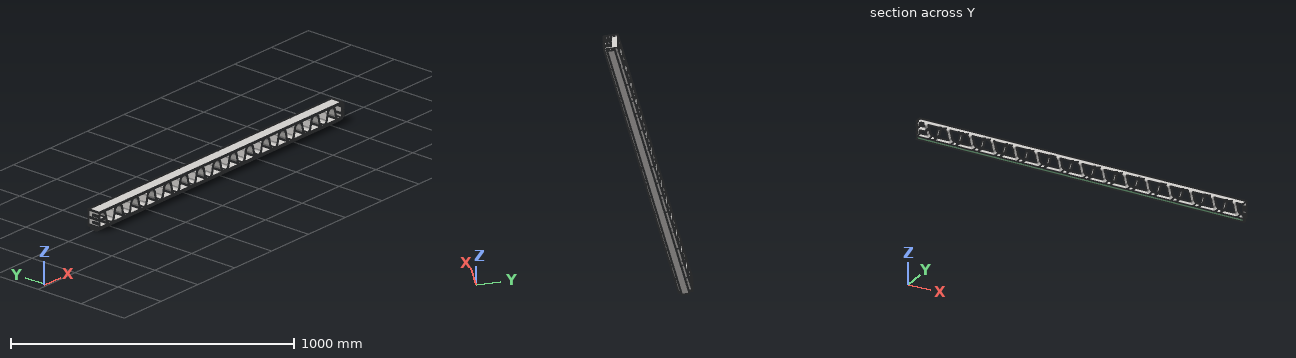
import cadquery as cq
import math

total_length = 1327.0
depth = 50.0
total_height = 73.0

hook_reach = 7.0
frame_length = total_length - hook_reach
rail_drop = 10.0
frame_height = total_height - rail_drop
plate = 4.0
left_wall = 3.0
right_wall = 4.0
frame_top = total_height
frame_bottom = rail_drop
mid_height = frame_bottom + frame_height / 2

half_waves = 29
pitch = 89.0
half_pitch = pitch / 2
core_thickness = 3.0
bend_radius = 20.0
core_start = (frame_length - half_waves * half_pitch) / 2
core_overlap = core_thickness
amplitude = frame_height / 2 - plate - core_thickness / 2 + core_overlap

rail_width = 28.0
rail_thickness = 6.0
neck_width = 8.0

hook_spacing = 28.0
hook_width = 27.0
hook_height = 19.0
hook_head = 4.0
stem_height = 4.0
slot_clearance = 3.3
slot_height = stem_height
slot_width = hook_width + slot_clearance
hook_levels = [mid_height + side * hook_spacing / 2 for side in (1, -1)]


def block(x0, x1, y0, y1, z0, z1):
    """Box between two opposite corners."""
    return cq.Workplane("XY").box(x1 - x0, y1 - y0, z1 - z0, centered=False).translate((x0, y0, z0))


def full_depth(x0, x1, z0, z1):
    """Box that runs through the whole depth of the frame."""
    return block(x0, x1, -depth / 2, depth / 2, z0, z1)


def make_frame():
    outer = full_depth(0, frame_length, frame_bottom, frame_top)
    opening = full_depth(left_wall, frame_length - right_wall, frame_bottom + plate, frame_top - plate)
    return outer.cut(opening)


def bend_side(index):
    """+1 for a crest, -1 for a trough."""
    return 1 if index % 2 == 0 else -1


def make_core():
    bend_height = amplitude - bend_radius
    flank_distance = math.hypot(half_pitch / 2, bend_height)
    bend_angle = math.acos(bend_radius / flank_distance) - math.atan2(bend_height, half_pitch / 2)

    def bend_points(index, shift):
        """Start, middle and end of one bend, moved up by a shift normal to the strip."""
        up = bend_side(index)
        x = core_start + index * half_pitch
        z = mid_height + up * bend_height
        radius = bend_radius + up * shift
        side = radius * math.cos(bend_angle)
        rise = up * radius * math.sin(bend_angle)
        return (x - side, z + rise), (x, z + up * radius), (x + side, z + rise)

    def half_bend_middle(index, shift, direction):
        """Point halfway along the half bend at either end of the strip."""
        up = bend_side(index)
        angle = (bend_angle + math.pi / 2) / 2
        radius = bend_radius + up * shift
        x = core_start + index * half_pitch + direction * radius * math.cos(angle)
        return x, mid_height + up * (bend_height + radius * math.sin(angle))

    half = core_thickness / 2
    _, start, bend_end = bend_points(0, half)
    outline = cq.Workplane("XZ").moveTo(*start).threePointArc(half_bend_middle(0, half, 1), bend_end)
    for index in range(1, half_waves):
        begin, middle, end = bend_points(index, half)
        outline = outline.lineTo(*begin).threePointArc(middle, end)
    begin, tip, _ = bend_points(half_waves, half)
    outline = outline.lineTo(*begin).threePointArc(half_bend_middle(half_waves, half, -1), tip)

    begin, tip, _ = bend_points(half_waves, -half)
    outline = outline.lineTo(*tip).threePointArc(half_bend_middle(half_waves, -half, -1), begin)
    for index in range(half_waves - 1, 0, -1):
        begin, middle, end = bend_points(index, -half)
        outline = outline.lineTo(*end).threePointArc(middle, begin)
    _, start, bend_end = bend_points(0, -half)
    outline = outline.lineTo(*bend_end).threePointArc(half_bend_middle(0, -half, 1), start)
    return outline.close().extrude(depth / 2, both=True)


def make_shelf():
    """Short shelf that ties the left wall to the first flank of the core."""
    shelf_end = core_start + half_pitch / 2
    return full_depth(0, shelf_end, mid_height - plate / 2, mid_height + plate / 2)


def make_rail():
    flange = block(0, frame_length, -rail_width / 2, rail_width / 2, 0, rail_thickness)
    neck = block(0, frame_length, -neck_width / 2, neck_width / 2, rail_thickness, frame_bottom)
    return flange.union(neck)


def make_hook(level):
    front = -depth / 2
    back = front + hook_width
    stem = block(frame_length, total_length, front, back,
                 level - stem_height / 2, level + stem_height / 2)
    head = block(total_length - hook_head, total_length, front, back,
                 level - hook_height / 2, level + hook_height / 2)
    return stem.union(head)


def make_slot(level):
    front = -depth / 2
    return block(0, left_wall, front, front + slot_width,
                 level - slot_height / 2, level + slot_height / 2)


result = make_frame().union(make_core()).union(make_shelf()).union(make_rail())
for level in hook_levels:
    result = result.union(make_hook(level)).cut(make_slot(level))